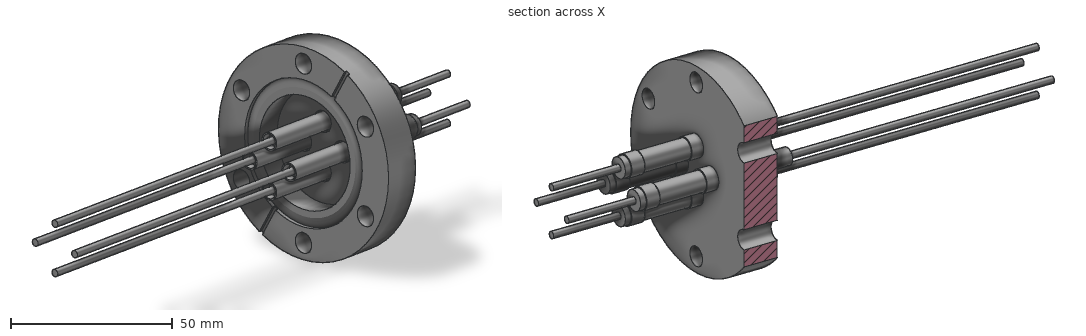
import cadquery as cq
import math

flange_diameter = 69.85
flange_thickness = 12.7

bolt_count = 6
bolt_circle_diameter = 58.72
bolt_hole_diameter = 6.7

recess_diameter = 48.3
knife_edge_diameter = 41.9
knife_edge_depth = 0.6
slope_change_diameter = 43.8
inner_slope = 14.5
outer_slope = 16.0
pocket_diameter = 37.3
pocket_depth = 9.0

groove_angles = (60.0, 240.0)
groove_width = 1.4
groove_depth = 1.0

feedthrough_count = 4
feedthrough_circle_radius = 8.08

conductor_diameter = 2.4
conductor_length = 184.15
conductor_front_reach = 116.55

sleeve_diameter = 6.0
sleeve_bore_diameter = 5.0
sleeve_bore_depth = 3.0
sleeve_reach = 16.0
gap_diameter = 7.1
gap_depth = 1.5

insulator_diameter = 7.1
insulator_length = 29.4
collar_diameter = 7.9
base_collar_length = 4.4
end_collar_start = 22.2
end_collar_end = 27.2

recess_radius = recess_diameter / 2
knife_edge_radius = knife_edge_diameter / 2
slope_change_radius = slope_change_diameter / 2
inner_drop = (slope_change_radius - knife_edge_radius) * math.tan(math.radians(inner_slope))
outer_drop = (recess_radius - slope_change_radius) * math.tan(math.radians(outer_slope))
slope_change_depth = knife_edge_depth + inner_drop
recess_wall_depth = slope_change_depth + outer_drop


def cylinder_y(diameter, start_y, end_y):
    """Cylinder about the Y axis between two Y positions."""
    return cq.Workplane("XZ", origin=(0, start_y, 0)).circle(diameter / 2).extrude(start_y - end_y)


def seal_cavity():
    """Turned cavity: recess wall, two slopes up to the knife edge, flat land, then the pocket."""
    profile = [
        (0, 0),
        (recess_radius, 0),
        (recess_radius, recess_wall_depth),
        (slope_change_radius, slope_change_depth),
        (knife_edge_radius, knife_edge_depth),
        (pocket_diameter / 2, knife_edge_depth),
        (pocket_diameter / 2, pocket_depth),
        (0, pocket_depth),
    ]
    return cq.Workplane("XY").polyline(profile).close().revolve(360, (0, 0, 0), (0, 1, 0))


def leak_check_groove(angle):
    """Groove running from the recess out through the rim."""
    length = flange_diameter / 2
    groove = cq.Workplane("XY").box(length, groove_depth, groove_width, centered=(False, False, True))
    start = (recess_radius + knife_edge_radius) / 2
    return groove.translate((start, 0, 0)).rotate((0, 0, 0), (0, 1, 0), -angle)


def flange():
    body = cylinder_y(flange_diameter, 0, flange_thickness).cut(seal_cavity())
    first_hole = cylinder_y(bolt_hole_diameter, 0, flange_thickness)
    first_hole = first_hole.translate((0, 0, bolt_circle_diameter / 2))
    for index in range(bolt_count):
        body = body.cut(first_hole.rotate((0, 0, 0), (0, 1, 0), index * 360 / bolt_count))
    for angle in groove_angles:
        body = body.cut(leak_check_groove(angle))
    return body


def feedthrough_gap():
    return cylinder_y(gap_diameter, pocket_depth, pocket_depth + gap_depth)


def feedthrough():
    """One feedthrough on the Y axis: sleeve, insulator with two collars, and conductor."""
    back_y = flange_thickness
    sleeve = cylinder_y(sleeve_diameter, -sleeve_reach, back_y)
    sleeve = sleeve.cut(cylinder_y(sleeve_bore_diameter, -sleeve_reach, sleeve_bore_depth - sleeve_reach))
    insulator = cylinder_y(insulator_diameter, back_y, back_y + insulator_length)
    base_collar = cylinder_y(collar_diameter, back_y, back_y + base_collar_length)
    end_collar = cylinder_y(collar_diameter, back_y + end_collar_start, back_y + end_collar_end)
    conductor = cylinder_y(conductor_diameter, -conductor_front_reach, conductor_length - conductor_front_reach)
    return sleeve.union(insulator).union(base_collar).union(end_collar).union(conductor)


def place_feedthrough(shape, index):
    shape = shape.translate((feedthrough_circle_radius, 0, 0))
    return shape.rotate((0, 0, 0), (0, 1, 0), index * 360 / feedthrough_count)


result = flange()
for position in range(feedthrough_count):
    result = result.cut(place_feedthrough(feedthrough_gap(), position))
    result = result.union(place_feedthrough(feedthrough(), position))